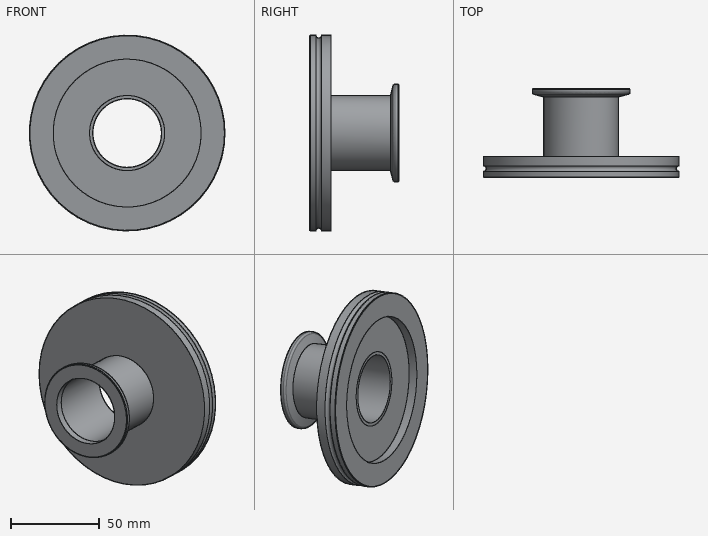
import cadquery as cq
import math

total_length = 50.0
front_y = -total_length / 2
back_y = total_length / 2

tube_radius = 21.1
bore_radius = 19.2

flange_radius = 55.0
flange_thickness = 12.0
recess_radius = 41.6
recess_depth = 5.0
front_chamfer = 0.3
groove_radius = 1.5
groove_center_depth = 5.1

clamp_radius = 27.5
clamp_thickness = 4.7
clamp_cone_angle = 15.0
clamp_edge_round = 1.3
clamp_face_chamfer = 0.4

recess_floor_y = front_y + recess_depth
flange_back_y = front_y + flange_thickness
groove_y = front_y + groove_center_depth
clamp_front_y = back_y - clamp_thickness
cone_length = (clamp_radius - tube_radius) * math.tan(math.radians(clamp_cone_angle))
cone_end_y = clamp_front_y + cone_length


def revolve_about_y(profile):
    """Turn a closed radius-versus-Y profile into a full ring about the Y axis."""
    return profile.close().revolve(360, (0, 0, 0), (0, 1, 0))


def make_large_flange():
    """Recessed flange with a round rim groove, bored to fit around the tube."""
    return revolve_about_y(
        cq.Workplane("XY")
        .moveTo(tube_radius, recess_floor_y)
        .lineTo(recess_radius, recess_floor_y)
        .lineTo(recess_radius, front_y)
        .lineTo(flange_radius - front_chamfer, front_y)
        .lineTo(flange_radius, front_y + front_chamfer)
        .lineTo(flange_radius, groove_y - groove_radius)
        .threePointArc((flange_radius - groove_radius, groove_y), (flange_radius, groove_y + groove_radius))
        .lineTo(flange_radius, flange_back_y)
        .lineTo(tube_radius, flange_back_y)
    )


def make_tube():
    """Plain tube from the recess floor to the front of the clamp flange."""
    return revolve_about_y(
        cq.Workplane("XY")
        .moveTo(bore_radius, recess_floor_y)
        .lineTo(tube_radius, recess_floor_y)
        .lineTo(tube_radius, clamp_front_y)
        .lineTo(bore_radius, clamp_front_y)
    )


def make_clamp_flange():
    """Thin flange with a conical front, butted against the end of the tube."""
    blank = revolve_about_y(
        cq.Workplane("XY")
        .moveTo(bore_radius, clamp_front_y)
        .lineTo(tube_radius, clamp_front_y)
        .lineTo(clamp_radius, cone_end_y)
        .lineTo(clamp_radius, back_y)
        .lineTo(bore_radius, back_y)
    )
    rounded = blank.edges(cq.selectors.RadiusNthSelector(-1)).edges("<Y").fillet(clamp_edge_round)
    return rounded.faces(">Y").edges(cq.selectors.RadiusNthSelector(-1)).chamfer(clamp_face_chamfer)


large_flange = make_large_flange()
tube = make_tube()
clamp_flange = make_clamp_flange()

result = cq.Compound.makeCompound([large_flange.val(), tube.val(), clamp_flange.val()])